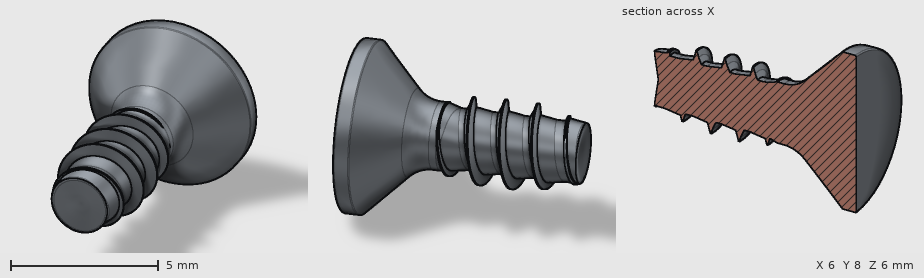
import cadquery as cq
import math


length = 8.0
head_radius = 3.0
rim_round = 0.05
countersink_depth = 0.545
countersink_edge_round = 0.06
neck_radius = 1.174
neck_fillet = 1.2
neck_end_depth = 3.12

core_radius = 1.034
tip_radius = 1.04
tip_cone_start_depth = 7.65
run_in_end_depth = 3.59
tip_dimple_radius = 0.963
tip_dimple_depth = 0.15

pitch = 1.12
reference_crest_depth = 4.084
crest_radius = 1.506
crest_half_width = 0.025
buried_radius = 0.85
full_thread_start_depth = 4.2
full_thread_end_depth = 6.32
run_in_slope = 0.24
run_out_slope = 0.286
sections_per_turn = 8
blade_lead_turns = 1.25
groove_lead_turns = 1.75
tip_overrun_turns = 0.25
first_crest_depth = 3.13

head_flank_bend_offset = -0.09
head_flank_bend_drop = 0.22
head_flank_foot_offset = -0.23
head_flank_foot_drop = 0.50
tip_flank_slope = 0.30
blade_height = crest_radius - buried_radius

taper_start_radius = 1.137
ridge_radius = 1.15
groove_start_offset = 0.04
groove_start_drop = 0.065
groove_flat_offset = 0.70
groove_end_offset = pitch - 0.06
groove_outer_radius = 1.3


def revolve_about_axis(outline):
    return outline.close().revolve(360, (0, 0, 0), (0, 1, 0))


def make_head_and_neck():
    sweep = math.radians(45)
    diagonal = math.sin(sweep)
    fillet_rise = neck_fillet * (1 - diagonal)
    cone_end_radius = neck_radius + fillet_rise
    cone_end_depth = countersink_depth + head_radius - cone_end_radius
    fillet_end_depth = cone_end_depth + neck_fillet * diagonal

    half_sweep = sweep / 2
    fillet_mid = (
        neck_radius + neck_fillet * (1 - math.cos(half_sweep)),
        -fillet_end_depth + neck_fillet * math.sin(half_sweep),
    )
    outline = (
        cq.Workplane("XY")
        .lineTo(head_radius, 0)
        .lineTo(head_radius, -countersink_depth)
        .lineTo(cone_end_radius, -cone_end_depth)
        .threePointArc(fillet_mid, (neck_radius, -fillet_end_depth))
        .lineTo(neck_radius, -neck_end_depth)
        .lineTo(0, -neck_end_depth)
    )
    body = revolve_about_axis(outline)
    body = body.faces(">Y").edges().fillet(rim_round)
    rim_edge = cq.selectors.NearestToPointSelector((0, -countersink_depth, 0))
    return body.edges(rim_edge).fillet(countersink_edge_round)


def make_core_envelope():
    """Return the core's outer limit: a cylinder ending in the tip cone."""
    outline = (
        cq.Workplane("XY")
        .moveTo(0, -neck_end_depth)
        .lineTo(ridge_radius, -neck_end_depth)
        .lineTo(ridge_radius, -tip_cone_start_depth)
        .lineTo(tip_radius, -length)
        .lineTo(0, -length)
    )
    return revolve_about_axis(outline)


def make_core():
    blank = make_thread_zone(ridge_radius)
    grooved = blank.cut(loft_along_helix(groove_section, groove_lead_turns))
    return grooved.intersect(make_core_envelope()).union(make_run_in_cone())


def make_run_in_cone():
    slope = (neck_radius - core_radius) / (run_in_end_depth - neck_end_depth)
    buried_end_depth = neck_end_depth + (neck_radius - buried_radius) / slope
    outline = (
        cq.Workplane("XY")
        .moveTo(0, -neck_end_depth)
        .lineTo(neck_radius, -neck_end_depth)
        .lineTo(buried_radius, -buried_end_depth)
        .lineTo(0, -buried_end_depth)
    )
    return revolve_about_axis(outline)


def crest_radius_at(depth):
    missing_run_in = max(0, full_thread_start_depth - depth) * run_in_slope
    missing_run_out = max(0, depth - full_thread_end_depth) * run_out_slope
    return crest_radius - missing_run_in - missing_run_out


def axial_plane_point(crest_depth, least_depth=0):
    """Return a function placing (offset, radius) in the axial plane holding that crest point."""
    angle = 2 * math.pi * (crest_depth - reference_crest_depth) / pitch
    held_depth = max(crest_depth, least_depth)

    def place(offset, radius):
        depth = held_depth + offset
        return cq.Vector(-radius * math.sin(angle), -depth, radius * math.cos(angle))

    return place


def blade_section(crest_depth):
    place = axial_plane_point(crest_depth, first_crest_depth)
    top = crest_radius_at(crest_depth)
    bend = place(head_flank_bend_offset, top - head_flank_bend_drop)
    foot = place(head_flank_foot_offset, top - head_flank_foot_drop)
    head_crest = place(-crest_half_width, top)
    tip_crest = place(crest_half_width, top)
    tip_root = place(crest_half_width + tip_flank_slope * blade_height, top - blade_height)
    head_root = place(head_flank_foot_offset, top - blade_height)
    flank_direction = bend - head_crest
    return cq.Wire.assembleEdges([
        cq.Edge.makeLine(head_crest, bend),
        cq.Edge.makeTangentArc(bend, flank_direction, foot),
        cq.Edge.makeLine(foot, head_root),
        cq.Edge.makeLine(head_root, tip_root),
        cq.Edge.makeLine(tip_root, tip_crest),
        cq.Edge.makeLine(tip_crest, head_crest),
    ])


def groove_section(crest_depth):
    place = axial_plane_point(crest_depth)
    dropped_radius = crest_radius_at(crest_depth) - groove_start_drop
    start_radius = max(core_radius, min(taper_start_radius, dropped_radius))
    corners = [
        place(groove_start_offset, groove_outer_radius),
        place(groove_start_offset, start_radius),
        place(groove_flat_offset, core_radius),
        place(groove_end_offset, core_radius),
        place(groove_end_offset, groove_outer_radius),
    ]
    return cq.Wire.makePolygon(corners, close=True)


def loft_along_helix(section, turns_before_reference):
    first_depth = reference_crest_depth - turns_before_reference * pitch
    last_depth = length + tip_overrun_turns * pitch
    count = math.ceil((last_depth - first_depth) / pitch * sections_per_turn)
    step = pitch / sections_per_turn
    wires = [section(first_depth + i * step) for i in range(count + 1)]
    return cq.Workplane(cq.Solid.makeLoft(wires))


def make_thread_zone(radius):
    zone_length = length - neck_end_depth
    plane = cq.Workplane("XZ", origin=(0, -neck_end_depth, 0))
    return plane.circle(radius).extrude(zone_length)


def make_tip_dimple():
    outline = (
        cq.Workplane("XY")
        .moveTo(0, -length)
        .lineTo(tip_dimple_radius, -length)
        .lineTo(0, -length + tip_dimple_depth)
    )
    return revolve_about_axis(outline)


blade = loft_along_helix(blade_section, blade_lead_turns).intersect(make_thread_zone(head_radius))
shank = make_core().union(blade)
result = make_head_and_neck().union(shank).cut(make_tip_dimple())